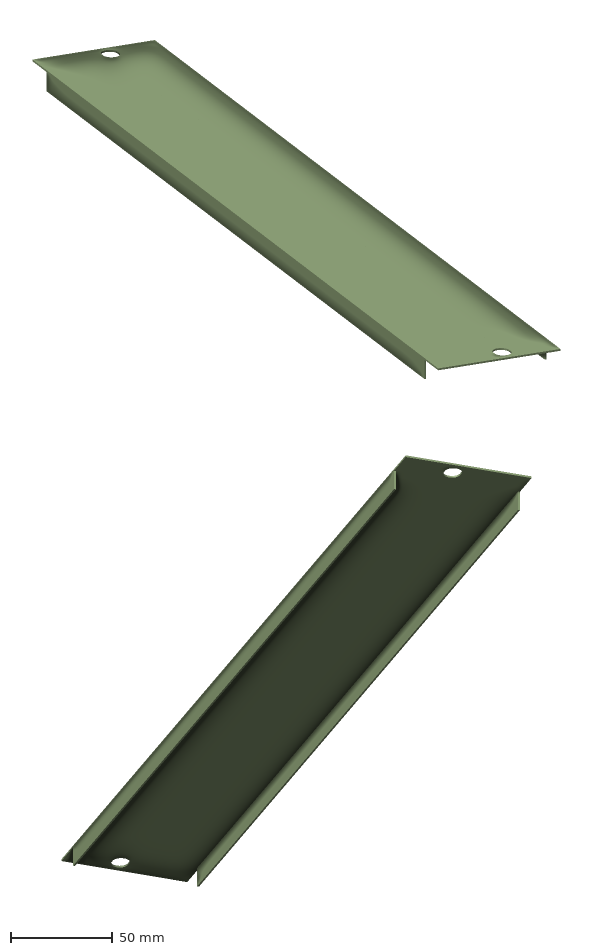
import cadquery as cq

length = 482.0
width = 66.5
height = 11.0
sheet_thickness = 1.0

flange_length = 449.0

slot_length = 10.5
slot_width = 8.5
slot_spacing = 465.0
slot_offset_y = 5.5


def make_face_plate():
    """Flat rectangular plate with its top face at Z = height."""
    plate_bottom = height - sheet_thickness
    return (
        cq.Workplane("XY")
        .workplane(offset=plate_bottom)
        .rect(length, width)
        .extrude(sheet_thickness)
    )


def make_flange(side):
    """Downturned flange along one long edge; side is -1 or +1 in Y."""
    center_y = side * (width - sheet_thickness) / 2
    return (
        cq.Workplane("XY")
        .center(0, center_y)
        .rect(flange_length, sheet_thickness)
        .extrude(height)
    )


def make_slots():
    """Cutters for the mounting slot at each end of the plate."""
    slot_centers = [(side * slot_spacing / 2, slot_offset_y) for side in (-1, 1)]
    return (
        cq.Workplane("XY")
        .pushPoints(slot_centers)
        .slot2D(slot_length, slot_width)
        .extrude(height)
    )


result = make_face_plate()
for flange_side in (-1, 1):
    result = result.union(make_flange(flange_side))
result = result.cut(make_slots())